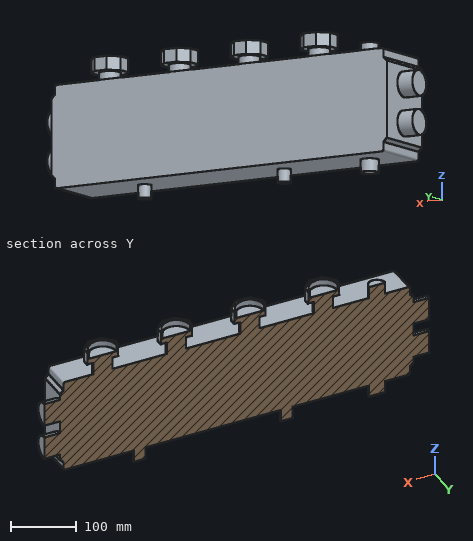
import cadquery as cq
import math

overall_length = 655.0
end_pipe_length = 27.0
box_length = overall_length - 2 * end_pipe_length
box_width = 100.0
box_height = 160.0
end_step = 6.0
shoulder_height = 14.5
corner_radius = 4.0

end_pipe_diameter = 40.0
end_pipe_spacing = 60.0

outlet_count = 4
outlet_spacing = 125.0
outlet_row_center = 40.0
outlet_pipe_diameter = 33.5
outlet_pipe_length = 19.5
nut_height = 21.5
nut_sides = 8
nut_across_flats = 53.0
nut_bore_diameter = 46.0
nut_bore_depth = 11.0

vent_x = -238.5
vent_diameter = 27.5
vent_length = 19.5

socket_diameter = 20.0
socket_length = 20.0

box_top = box_height / 2
box_bottom = -box_top
first_outlet_x = outlet_row_center - outlet_spacing * (outlet_count - 1) / 2
outlet_positions = [first_outlet_x + i * outlet_spacing for i in range(outlet_count)]
socket_positions = [x + outlet_spacing / 2 for x in outlet_positions[::2]]


def box():
    """Box with stepped ends and rounded outer corners."""
    end_x = box_length / 2
    shoulder_x = end_x - end_step
    slope_start = box_top - shoulder_height
    slope_end = slope_start - end_step
    right_end = [
        (shoulder_x, box_bottom),
        (shoulder_x, -slope_start),
        (end_x, -slope_end),
        (end_x, slope_end),
        (shoulder_x, slope_start),
        (shoulder_x, box_top),
    ]
    left_end = [(-x, z) for x, z in reversed(right_end)]
    body = cq.Workplane("XZ").polyline(right_end + left_end).close().extrude(box_width / 2, both=True)
    return body.edges("|Y and (>Z or <Z)").fillet(corner_radius)


def top_pipe(x, diameter, length):
    return cq.Workplane("XY", origin=(x, 0, box_top)).circle(diameter / 2).extrude(length)


def bottom_pipe(x, diameter, length):
    return cq.Workplane("XY", origin=(x, 0, box_bottom)).circle(diameter / 2).extrude(-length)


def end_pipes(z):
    """Pair of opposite end pipes, made as one bar over the full length."""
    profile = cq.Workplane("YZ", origin=(0, 0, z)).circle(end_pipe_diameter / 2)
    return profile.extrude(overall_length / 2, both=True)


def outlet(x):
    """Short pipe carrying an octagonal nut with a blind round recess."""
    across_corners = nut_across_flats / math.cos(math.pi / nut_sides)
    nut = (
        cq.Workplane("XY", origin=(x, 0, box_top + outlet_pipe_length))
        .transformed(rotate=(0, 0, 180 / nut_sides))
        .polygon(nut_sides, across_corners)
        .extrude(nut_height)
        .faces(">Z")
        .workplane()
        .hole(nut_bore_diameter, nut_bore_depth)
    )
    return top_pipe(x, outlet_pipe_diameter, outlet_pipe_length).union(nut)


result = box()
for z in (-end_pipe_spacing / 2, end_pipe_spacing / 2):
    result = result.union(end_pipes(z))
for x in outlet_positions:
    result = result.union(outlet(x))
for x in socket_positions:
    result = result.union(bottom_pipe(x, socket_diameter, socket_length))
result = result.union(top_pipe(vent_x, vent_diameter, vent_length))
result = result.union(bottom_pipe(vent_x, vent_diameter, vent_length))